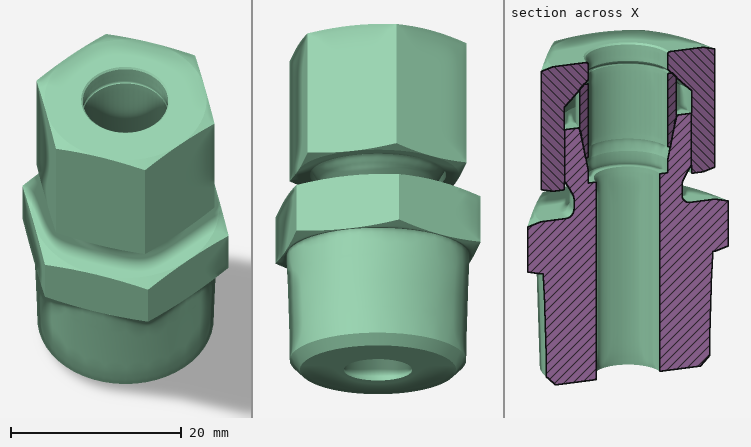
import cadquery as cq
import math

THREAD_LENGTH = 14.0
HEX_TOP = 20.5
NUT_BOTTOM = 24.0
NUT_TOP = 39.5
STUD_TOP = 31.52

BODY_ACROSS_FLATS = 22.0
NUT_ACROSS_FLATS = 19.0
HEX_CHAMFER_ANGLE = 15.0
ENVELOPE_MARGIN = 0.4

THREAD_TOP_DIAMETER = 21.5
THREAD_TAPER = 1 / 16
THREAD_END_CHAMFER = 1.2

NECK_DIAMETER = 13.7
NECK_TOP = 22.8
NECK_FILLET = 1.0
RUNOUT_ANGLE = 30.0
NUT_THREAD_DIAMETER = 16.0

FLOW_DIAMETER = 8.0
TUBE_DIAMETER = 10.0
TUBE_SOCKET_DEPTH = 7.0
CONE_MOUTH_DIAMETER = 12.3
CONE_HALF_ANGLE = 12.0

RING_BOTTOM = 27.65
RING_TOP = 36.8

NUT_BORE_LENGTH = 2.2
NUT_RIM_CHAMFER = 0.2


def tan_deg(angle):
    return math.tan(math.radians(angle))


def revolve_about_z(profile):
    """Close a half profile drawn as (radius, height) and turn it about Z."""
    return profile.close().revolve(360, (0, 0, 0), (0, 1, 0))


def chamfered_hex(across_flats, bottom, top):
    """Hexagonal prism whose corners are cut by shallow cones at both ends."""
    flat_radius = across_flats / 2
    corner_radius = flat_radius / math.cos(math.radians(30))
    cone_radius = corner_radius + ENVELOPE_MARGIN
    drop = (cone_radius - flat_radius) * tan_deg(HEX_CHAMFER_ANGLE)
    prism = (
        cq.Workplane("XY", origin=(0, 0, bottom))
        .polygon(6, 2 * corner_radius)
        .extrude(top - bottom)
        .rotate((0, 0, 0), (0, 0, 1), 30)
    )
    envelope = revolve_about_z(
        cq.Workplane("XZ")
        .moveTo(0, bottom)
        .lineTo(flat_radius, bottom)
        .lineTo(cone_radius, bottom + drop)
        .lineTo(cone_radius, top - drop)
        .lineTo(flat_radius, top)
        .lineTo(0, top)
    )
    return prism.intersect(envelope)


def pipe_thread():
    """Tapered threaded end with a chamfered tip, left smooth."""
    top_radius = THREAD_TOP_DIAMETER / 2
    taper_length = THREAD_LENGTH - THREAD_END_CHAMFER
    end_radius = top_radius - taper_length * THREAD_TAPER / 2
    return revolve_about_z(
        cq.Workplane("XZ")
        .moveTo(0, 0)
        .lineTo(end_radius - THREAD_END_CHAMFER, 0)
        .lineTo(end_radius, THREAD_END_CHAMFER)
        .lineTo(top_radius, THREAD_LENGTH)
        .lineTo(0, THREAD_LENGTH)
    )


def neck_and_stud():
    """Filleted neck that flares out through a thread runout into the nut thread."""
    neck_radius = NECK_DIAMETER / 2
    stud_radius = NUT_THREAD_DIAMETER / 2

    lower_center = (neck_radius + NECK_FILLET, HEX_TOP + NECK_FILLET)
    diagonal_step = NECK_FILLET * math.cos(math.radians(45))
    lower_middle = (lower_center[0] - diagonal_step, lower_center[1] - diagonal_step)

    def upper_arc_point(angle):
        turn = math.radians(angle)
        return (
            neck_radius + NECK_FILLET * (1 - math.cos(turn)),
            NECK_TOP + NECK_FILLET * math.sin(turn),
        )

    runout_start = upper_arc_point(RUNOUT_ANGLE)
    runout_top = runout_start[1] + (stud_radius - runout_start[0]) / tan_deg(RUNOUT_ANGLE)
    return revolve_about_z(
        cq.Workplane("XZ")
        .moveTo(0, HEX_TOP)
        .lineTo(lower_center[0], HEX_TOP)
        .threePointArc(lower_middle, (neck_radius, lower_center[1]))
        .lineTo(neck_radius, NECK_TOP)
        .threePointArc(upper_arc_point(RUNOUT_ANGLE / 2), runout_start)
        .lineTo(stud_radius, runout_top)
        .lineTo(stud_radius, STUD_TOP)
        .lineTo(0, STUD_TOP)
    )


def body_bore():
    """Flow passage, tube socket and the cone that takes the cutting ring."""
    flow_radius = FLOW_DIAMETER / 2
    tube_radius = TUBE_DIAMETER / 2
    mouth_radius = CONE_MOUTH_DIAMETER / 2
    socket_floor = STUD_TOP - TUBE_SOCKET_DEPTH
    cone_bottom = STUD_TOP - (mouth_radius - tube_radius) / tan_deg(CONE_HALF_ANGLE)
    return revolve_about_z(
        cq.Workplane("XZ")
        .moveTo(0, 0)
        .lineTo(flow_radius, 0)
        .lineTo(flow_radius, socket_floor)
        .lineTo(tube_radius, socket_floor)
        .lineTo(tube_radius, cone_bottom)
        .lineTo(mouth_radius, STUD_TOP)
        .lineTo(0, STUD_TOP)
    )


def make_body():
    hexagon = chamfered_hex(BODY_ACROSS_FLATS, THREAD_LENGTH, HEX_TOP)
    return hexagon.union(pipe_thread()).union(neck_and_stud()).cut(body_bore()).solids()


SEAT_TOP = NUT_TOP - NUT_BORE_LENGTH


def seat_height(radius):
    """Height of the 45 degree seat at a given radius."""
    return SEAT_TOP - (radius - TUBE_DIAMETER / 2)


def make_nut():
    bore_radius = TUBE_DIAMETER / 2
    thread_radius = NUT_THREAD_DIAMETER / 2
    cavity = revolve_about_z(
        cq.Workplane("XZ")
        .moveTo(0, NUT_BOTTOM)
        .lineTo(thread_radius, NUT_BOTTOM)
        .lineTo(thread_radius, seat_height(thread_radius))
        .lineTo(bore_radius, SEAT_TOP)
        .lineTo(bore_radius, NUT_TOP - NUT_RIM_CHAMFER)
        .lineTo(bore_radius + NUT_RIM_CHAMFER, NUT_TOP)
        .lineTo(0, NUT_TOP)
    )
    return chamfered_hex(NUT_ACROSS_FLATS, NUT_BOTTOM, NUT_TOP).cut(cavity).solids()


def make_cutting_ring():
    """Ring that fits the body's cone below and the nut's seat above."""
    inner_radius = TUBE_DIAMETER / 2
    collar_radius = CONE_MOUTH_DIAMETER / 2
    tip_radius = collar_radius - (STUD_TOP - RING_BOTTOM) * tan_deg(CONE_HALF_ANGLE)
    top_radius = inner_radius + SEAT_TOP - RING_TOP
    return revolve_about_z(
        cq.Workplane("XZ")
        .moveTo(inner_radius, RING_BOTTOM)
        .lineTo(tip_radius, RING_BOTTOM)
        .lineTo(collar_radius, STUD_TOP)
        .lineTo(collar_radius, seat_height(collar_radius))
        .lineTo(top_radius, RING_TOP)
        .lineTo(inner_radius, RING_TOP)
    )


body = make_body()
nut = make_nut()
cutting_ring = make_cutting_ring()

result = cq.Compound.makeCompound([body.val(), nut.val(), cutting_ring.val()])